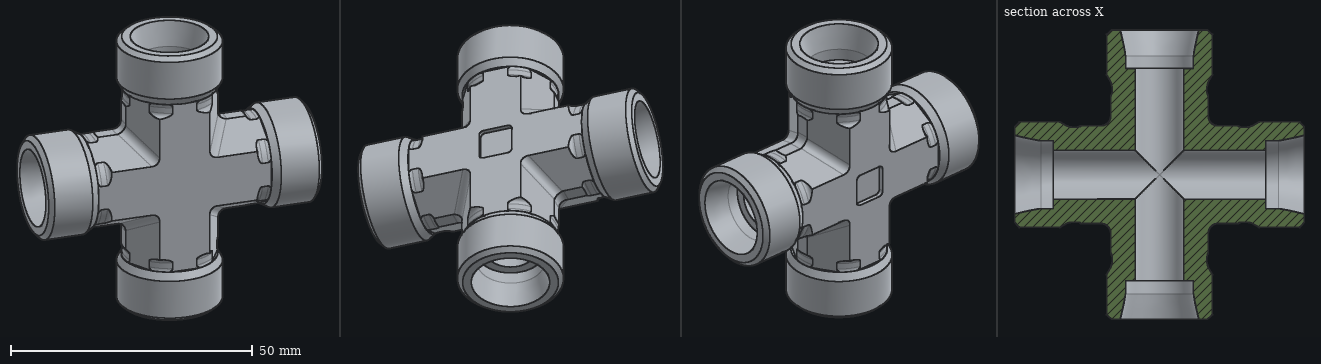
import cadquery as cq
import math

SPAN = 60.0
COLLAR_D = 22.0
COLLAR_LENGTH = 9.3
BACK_CONE_LENGTH = 1.7
BACK_CONE_ANGLE = 30.0
END_CHAMFER_LENGTH = 0.95
END_CHAMFER_DEPTH = 1.1

HEX_SIDES = 6
HEX_ACROSS_FLATS = 19.1
TIP_HALF_WIDTH = 10.15
CORNER_FILLET = 2.0

GROOVE_D = 19.8
GROOVE_CONE_FILLET = 1.5
GROOVE_SHELF_FILLET = 1.0
GROOVE_FLAT = 1.25

BORE_D = 10.0
SOCKET_D = 14.0
SOCKET_DEPTH = 8.0
MOUTH_D = 16.25
MOUTH_ANGLE = 12.0

BADGE_SIZE = 7.2
BADGE_CORNER = 1.0
BADGE_DEPTH = 1.0

TOLERANCE = 6e-05

HALF_SPAN = SPAN / 2
COLLAR_R = COLLAR_D / 2
GROOVE_R = GROOVE_D / 2
HEX_APOTHEM = HEX_ACROSS_FLATS / 2
HEX_CORNER_R = HEX_APOTHEM / math.cos(math.pi / HEX_SIDES)
COLLAR_BACK = HALF_SPAN - COLLAR_LENGTH
NECK_END = COLLAR_BACK - BACK_CONE_LENGTH
CONE_SMALL_R = COLLAR_R - BACK_CONE_LENGTH * math.tan(math.radians(BACK_CONE_ANGLE))
MOUTH_DEPTH = (MOUTH_D - SOCKET_D) / 2 / math.tan(math.radians(MOUTH_ANGLE))


def on_each_arm(arm):
    """Copies of a +Z arm shape turned about X to the four arm directions."""
    return [arm.rotate((0, 0, 0), (1, 0, 0), 90 * turn) for turn in range(4)]


def revolved(profile):
    """Solid of revolution about Z from a closed profile of (radius, height)."""
    return profile.close().revolve(360, (0, 0, 0), (0, 1, 0))


def hex_cross():
    """Two crossing hexagonal bars with filleted inner corners and flattened tips."""
    bar = (
        cq.Workplane("XY")
        .polygon(HEX_SIDES, 2 * HEX_CORNER_R)
        .extrude(NECK_END, both=True)
        .rotate((0, 0, 0), (0, 0, 1), 90)
    )
    cross = bar.union(bar.rotate((0, 0, 0), (1, 0, 0), 90))

    inner_edges = [
        edge
        for edge in cross.edges().vals()
        if all(abs(abs(v.Y) - abs(v.Z)) < TOLERANCE for v in edge.Vertices())
    ]
    return cross.newObject(inner_edges).fillet(CORNER_FILLET).intersect(tip_envelope())


def tip_envelope():
    """Plus-shaped prism along X that flattens the outward hexagon corners."""
    width = 2 * TIP_HALF_WIDTH
    plus = (
        cq.Workplane("YZ")
        .rect(SPAN, width)
        .extrude(COLLAR_R, both=True)
        .union(cq.Workplane("YZ").rect(width, SPAN).extrude(COLLAR_R, both=True))
    )
    inner_box = cq.selectors.BoxSelector(
        (-SPAN, -TIP_HALF_WIDTH - TOLERANCE, -TIP_HALF_WIDTH - TOLERANCE),
        (SPAN, TIP_HALF_WIDTH + TOLERANCE, TIP_HALF_WIDTH + TOLERANCE),
    )
    return plus.edges("|X").edges(inner_box).fillet(CORNER_FILLET)


def groove_cutter():
    """Ring whose inner wall has a straight floor rounded out at both ends."""
    outer_r = HEX_CORNER_R + GROOVE_SHELF_FILLET
    cone_angle = math.radians(BACK_CONE_ANGLE)
    floor_top = NECK_END - GROOVE_CONE_FILLET * math.sin(cone_angle)
    floor_bottom = floor_top - GROOVE_FLAT

    def round_point(radius, floor_end, angle):
        """Point on a fillet that leaves the floor tangentially, at a turn angle from it."""
        return (
            GROOVE_R + radius * (1 - math.cos(angle)),
            floor_end + radius * math.sin(angle),
        )

    profile = (
        cq.Workplane("XZ")
        .moveTo(outer_r, NECK_END)
        .lineTo(*round_point(GROOVE_CONE_FILLET, floor_top, cone_angle))
        .threePointArc(
            round_point(GROOVE_CONE_FILLET, floor_top, cone_angle / 2),
            (GROOVE_R, floor_top),
        )
        .lineTo(GROOVE_R, floor_bottom)
        .threePointArc(
            round_point(GROOVE_SHELF_FILLET, floor_bottom, -math.pi / 4),
            round_point(GROOVE_SHELF_FILLET, floor_bottom, -math.pi / 2),
        )
        .lineTo(outer_r, floor_bottom - GROOVE_SHELF_FILLET)
    )
    return revolved(profile)


def collar():
    profile = (
        cq.Workplane("XZ")
        .moveTo(0, NECK_END)
        .lineTo(CONE_SMALL_R, NECK_END)
        .lineTo(COLLAR_R, COLLAR_BACK)
        .lineTo(COLLAR_R, HALF_SPAN - END_CHAMFER_LENGTH)
        .lineTo(COLLAR_R - END_CHAMFER_DEPTH, HALF_SPAN)
        .lineTo(0, HALF_SPAN)
    )
    return revolved(profile)


def socket_cutter():
    """Bore to the centre, tube socket and tapered mouth."""
    socket_floor = HALF_SPAN - SOCKET_DEPTH
    profile = (
        cq.Workplane("XZ")
        .lineTo(BORE_D / 2, 0)
        .lineTo(BORE_D / 2, socket_floor)
        .lineTo(SOCKET_D / 2, socket_floor)
        .lineTo(SOCKET_D / 2, HALF_SPAN - MOUTH_DEPTH)
        .lineTo(MOUTH_D / 2, HALF_SPAN)
        .lineTo(0, HALF_SPAN)
    )
    return revolved(profile)


def badge_cutter():
    return (
        cq.Workplane("YZ")
        .workplane(offset=-HEX_APOTHEM)
        .rect(BADGE_SIZE, BADGE_SIZE)
        .extrude(BADGE_DEPTH)
        .edges("|X")
        .fillet(BADGE_CORNER)
    )


result = hex_cross()
for groove in on_each_arm(groove_cutter()):
    result = result.cut(groove)
for end_collar in on_each_arm(collar()):
    result = result.union(end_collar)
for socket in on_each_arm(socket_cutter()):
    result = result.cut(socket)
result = result.cut(badge_cutter())